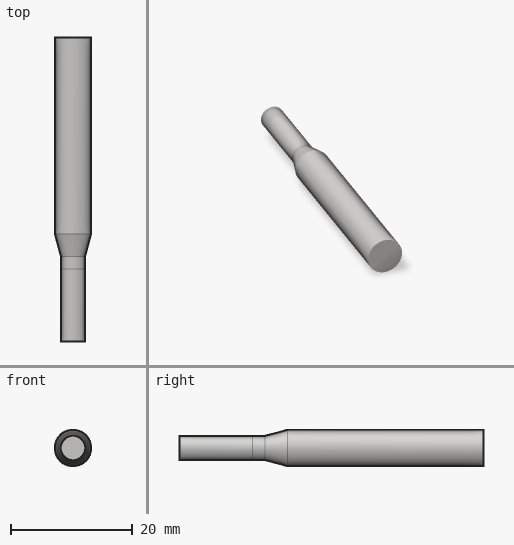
import cadquery as cq
import math

overall_length = 50.0
shank_diameter = 6.0
tip_diameter = 4.0
tip_length = 12.0
neck_length = 2.0
taper_half_angle = 15.0

shank_radius = shank_diameter / 2
tip_radius = tip_diameter / 2
taper_length = (shank_radius - tip_radius) / math.tan(math.radians(taper_half_angle))

taper_start_y = tip_length + neck_length
shank_start_y = taper_start_y + taper_length


def turned_body():
    """Revolve the half profile about Y; the point between tip and neck divides their faces."""
    half_profile = (
        cq.Workplane("XY")
        .lineTo(tip_radius, 0)
        .lineTo(tip_radius, tip_length)
        .lineTo(tip_radius, taper_start_y)
        .lineTo(shank_radius, shank_start_y)
        .lineTo(shank_radius, overall_length)
        .lineTo(0, overall_length)
        .close()
    )
    return half_profile.revolve(360, (0, 0, 0), (0, 1, 0), clean=False)


result = turned_body()